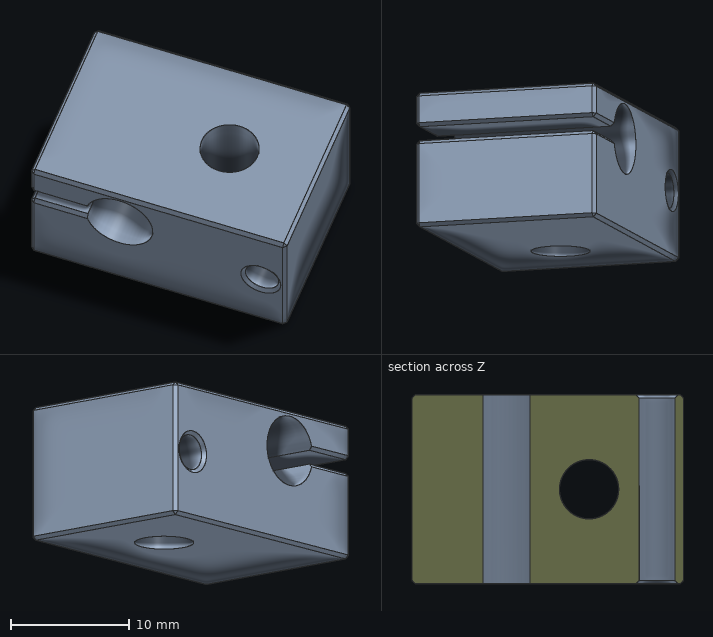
import cadquery as cq

length = 23.0
width = 16.0
height = 11.5
edge_chamfer = 0.3

bore_diameter = 6.0
bore_x = 8.0
bore_z = 8.0
slit_width = 1.2

vertical_hole_diameter = 5.0
vertical_hole_x = 15.0

cross_hole_diameter = 3.0
cross_hole_x = 20.75
cross_hole_z = height / 2
countersink_depth = 0.3


def hole_along_y(diameter, x, z):
    """Cylinder through the full width of the block."""
    return (
        cq.Workplane("XZ", origin=(x, 0, z))
        .circle(diameter / 2)
        .extrude(-width)
    )


def slit_block():
    """Block with the slit cut in, chamfered on every edge outside the bore."""
    block = cq.Workplane("XY").box(length, width, height, centered=False)
    slit = (
        cq.Workplane("XY", origin=(0, 0, bore_z - slit_width / 2))
        .box(bore_x, width, slit_width, centered=False)
    )
    block = block.cut(slit)
    slit_end = block.faces(cq.selectors.NearestToPointSelector((bore_x, width / 2, bore_z))).edges()
    outer_edges = block.edges().filter(
        lambda edge: not any(edge.isSame(end_edge) for end_edge in slit_end.vals())
    )
    return outer_edges.chamfer(edge_chamfer)


def countersunk_cross_hole():
    """Small cross hole with a 45 degree countersink at each end."""
    hole = hole_along_y(cross_hole_diameter, cross_hole_x, cross_hole_z)
    return hole.union(countersink(0, 1)).union(countersink(width, -1))


def countersink(face_y, inward):
    """Cone narrowing from the face at face_y to the cross hole diameter."""
    hole_radius = cross_hole_diameter / 2
    cone = cq.Solid.makeCone(
        hole_radius + countersink_depth,
        hole_radius,
        countersink_depth,
        pnt=cq.Vector(cross_hole_x, face_y, cross_hole_z),
        dir=cq.Vector(0, inward, 0),
    )
    return cq.Workplane(obj=cone)


vertical_hole = (
    cq.Workplane("XY", origin=(vertical_hole_x, width / 2, 0))
    .circle(vertical_hole_diameter / 2)
    .extrude(height)
)

result = (
    slit_block()
    .cut(hole_along_y(bore_diameter, bore_x, bore_z))
    .cut(vertical_hole)
    .cut(countersunk_cross_hole())
)